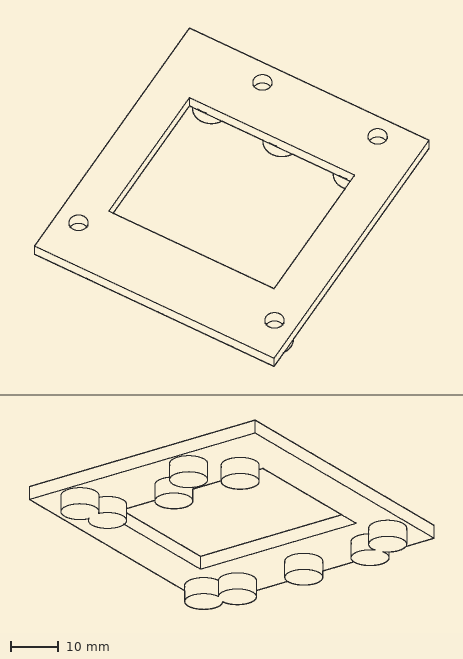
import cadquery as cq

plate_width = 58.0
plate_length = 65.0
plate_thickness = 3.0
window_width = 40.0
window_length = 33.8

total_height = 6.7
boss_height = total_height - plate_thickness
boss_diameter = 8.0
hole_diameter = 4.0

row_pitch = 17.0
front_row_y = -26.1
back_row_y = 21.0

mount_points = [
    (-24.0, -22.7),
    (24.2, -24.0),
    (-8.7, 27.95),
    (19.2, 27.95),
]


def make_plate():
    """Plate with its underside on Z = 0 and the window cut through."""
    return (
        cq.Workplane("XY")
        .rect(plate_width, plate_length)
        .rect(window_width, window_length)
        .extrude(plate_thickness)
    )


def make_cylinders(points, diameter, height):
    """Upright cylinders, rising from Z = 0 or hanging below it if height is negative."""
    return cq.Workplane("XY").pushPoints(points).circle(diameter / 2).extrude(height)


row_points = []
for row_y in (front_row_y, back_row_y):
    for column in (-1, 0, 1):
        row_points.append((column * row_pitch, row_y))

mount_holes = make_cylinders(mount_points, hole_diameter, plate_thickness)
result = make_plate().cut(mount_holes)

for boss_point in row_points + mount_points:
    result = result.union(make_cylinders([boss_point], boss_diameter, -boss_height))